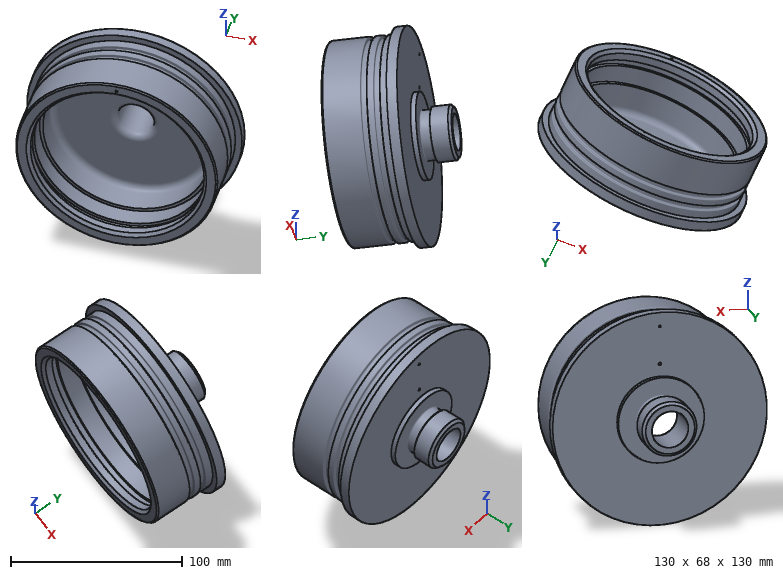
import cadquery as cq

flange_radius = 65.0
body_radius = 122.0 / 2
flange_front = 39.8
flange_back = 46.0
mouth_chamfer = 0.9

groove_floor_radius = 117.4 / 2
groove_width = 3.6
groove_starts = (23.4, 31.2)
groove_floor_fillet = 0.5
groove_edge_fillet = 0.4

mouth_radius = 109.0 / 2
bore_radius = 105.0 / 2
inner_bore_radius = 101.0 / 2
lead_in_length = mouth_radius - bore_radius
ring_groove_radius = mouth_radius
ring_groove_start = 6.6
ring_groove_end = 10.7
bore_step = 22.0
floor_position = 40.0
floor_fillet = 4.0

boss_radius = 26.0
boss_back = 49.1
neck_radius = 29.8 / 2
neck_fillet = 0.8
stem_radius = 33.0 / 2
stem_front = 55.5
stem_back = 68.0
stem_chamfer = 1.7
relief_length = stem_radius - neck_radius

center_hole_radius = 22.0 / 2
center_hole_fillet = 4.0
rim_hole_diameter = 1.2
rim_hole_offset = 56.4
floor_hole_diameter = 1.5
floor_hole_offset = 33.5


def revolve_profile(profile):
    """Close a (radius, position) outline and revolve it about the Y axis."""
    return profile.close().revolve(360, (0, 0, 0), (0, 1, 0))


def ring(inner_radius, outer_radius, start, end):
    """Plain ring coaxial with the part."""
    outline = (
        cq.Workplane("XY")
        .moveTo(inner_radius, start)
        .lineTo(outer_radius, start)
        .lineTo(outer_radius, end)
        .lineTo(inner_radius, end)
    )
    return revolve_profile(outline)


def axial_hole(diameter, offset):
    """Through hole above the part axis."""
    return (
        cq.Workplane("XZ")
        .center(0, offset)
        .circle(diameter / 2)
        .extrude(-stem_back)
    )


def outer_body():
    """Solid of the cup, flange, boss and stem."""
    outline = (
        cq.Workplane("XY")
        .moveTo(0, 0)
        .lineTo(body_radius - mouth_chamfer, 0)
        .lineTo(body_radius, mouth_chamfer)
        .lineTo(body_radius, flange_front)
        .lineTo(flange_radius, flange_front)
        .lineTo(flange_radius, flange_back)
        .lineTo(boss_radius, flange_back)
        .lineTo(boss_radius, boss_back)
        .lineTo(neck_radius + neck_fillet, boss_back)
        .radiusArc((neck_radius, boss_back + neck_fillet), neck_fillet)
        .lineTo(neck_radius, stem_front - relief_length)
        .radiusArc((stem_radius, stem_front), relief_length)
        .lineTo(stem_radius, stem_back - stem_chamfer)
        .lineTo(stem_radius - stem_chamfer, stem_back)
        .lineTo(0, stem_back)
    )
    return revolve_profile(outline)


def seal_groove(start):
    """Cutter for an outer groove with rounded floor corners and rounded rim edges."""
    end = start + groove_width
    floor_top = groove_floor_radius + groove_floor_fillet
    rim_round = body_radius - groove_edge_fillet
    outline = (
        cq.Workplane("XY")
        .moveTo(flange_radius, start - groove_edge_fillet)
        .lineTo(body_radius, start - groove_edge_fillet)
        .radiusArc((rim_round, start), -groove_edge_fillet)
        .lineTo(floor_top, start)
        .radiusArc((groove_floor_radius, start + groove_floor_fillet), groove_floor_fillet)
        .lineTo(groove_floor_radius, end - groove_floor_fillet)
        .radiusArc((floor_top, end), groove_floor_fillet)
        .lineTo(rim_round, end)
        .radiusArc((body_radius, end + groove_edge_fillet), -groove_edge_fillet)
        .lineTo(flange_radius, end + groove_edge_fillet)
    )
    return revolve_profile(outline)


def cup_cavity():
    """Stepped bore, its lead-in and the rounded hole entry in the floor."""
    entry_radius = center_hole_radius + center_hole_fillet
    entry_end = floor_position + center_hole_fillet
    outline = (
        cq.Workplane("XY")
        .moveTo(0, 0)
        .lineTo(mouth_radius, 0)
        .lineTo(bore_radius, lead_in_length)
        .lineTo(bore_radius, bore_step)
        .lineTo(inner_bore_radius, bore_step)
        .lineTo(inner_bore_radius, floor_position - floor_fillet)
        .radiusArc((inner_bore_radius - floor_fillet, floor_position), -floor_fillet)
        .lineTo(entry_radius, floor_position)
        .radiusArc((center_hole_radius, entry_end), center_hole_fillet)
        .lineTo(center_hole_radius, stem_back)
        .lineTo(0, stem_back)
    )
    return revolve_profile(outline)


result = outer_body().cut(cup_cavity())

result = result.cut(ring(inner_bore_radius, ring_groove_radius, ring_groove_start, ring_groove_end))

for groove_start in groove_starts:
    result = result.cut(seal_groove(groove_start))

result = result.cut(axial_hole(rim_hole_diameter, rim_hole_offset))
result = result.cut(axial_hole(floor_hole_diameter, floor_hole_offset))